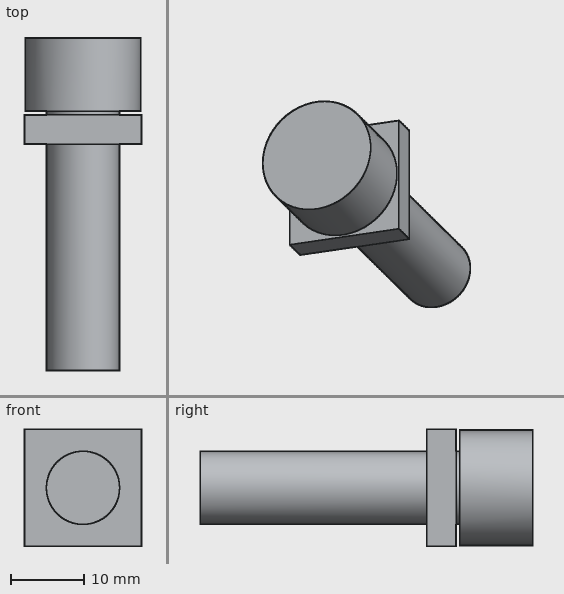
import cadquery as cq

total_length = 45.5
shank_diameter = 10.0
head_diameter = 15.85
head_length = 10.0
neck_gap = 0.5
plate_side = 16.0
plate_thickness = 4.0

head_start = total_length - head_length
plate_end = head_start - neck_gap
plate_start = plate_end - plate_thickness


def section_at(y):
    """Workplane across the bolt axis at y; negative extrusions go toward +Y."""
    return cq.Workplane("XZ", origin=(0, y, 0))


def cylinder(start, diameter, length):
    return section_at(start).circle(diameter / 2).extrude(-length)


shank = cylinder(0, shank_diameter, total_length)
head = cylinder(head_start, head_diameter, head_length)
plate = section_at(plate_start).rect(plate_side, plate_side).extrude(-plate_thickness)

result = shank.union(plate).union(head)